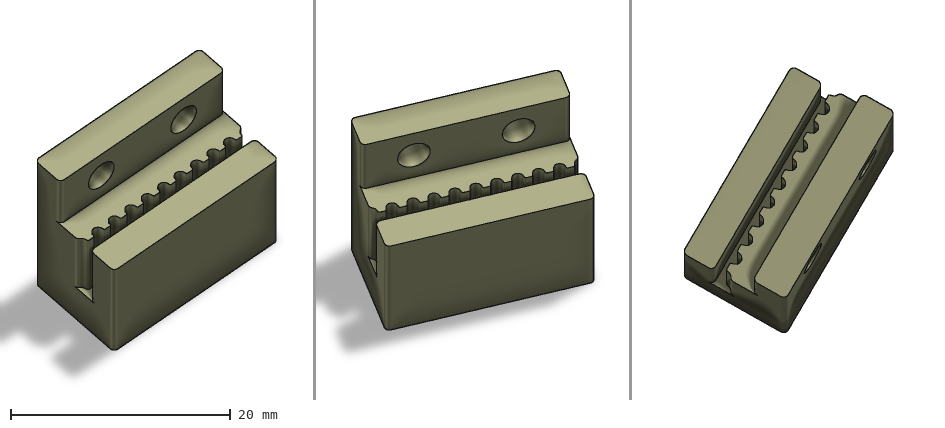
import cadquery as cq
import math

width = 10.85
length = 20.0
height = 17.5
wall_thickness = 3.45
body_height = 11.5
edge_radius = 0.5

hole_diameter = 3.1
hole_spacing = 10.0
hole_height = (body_height + height) / 2

slot_left = 6.6
slot_right = 7.6
slot_floor = 4.5
slot_depth = body_height - slot_floor

tooth_pitch = 2.0
groove_depth = 0.75
tip_radius = 0.55
flank_radius = 1.0
flank_offset = 0.4
root_radius = 0.15


def point_at(center, radius, angle):
    """Point on a circle; the angle is measured from +Y towards the groove bottom."""
    return (
        center[0] + radius * math.cos(angle),
        center[1] + radius * math.sin(angle),
    )


def groove_side():
    """Arc end and middle points from groove bottom to mouth, as (across, depth)."""
    tip_center = (0, groove_depth - tip_radius)
    tip_end_angle = math.acos(flank_offset / (flank_radius - tip_radius))
    center_rise = (flank_radius - tip_radius) * math.sin(tip_end_angle)
    flank_center = (-flank_offset, tip_center[1] - center_rise)
    flank_end_angle = math.asin((root_radius - flank_center[1]) / (flank_radius + root_radius))
    root_center = point_at(flank_center, flank_radius + root_radius, flank_end_angle)
    root_start_angle = flank_end_angle + math.pi
    root_end_angle = 3 * math.pi / 2
    return [
        point_at(tip_center, tip_radius, math.pi / 2),
        point_at(tip_center, tip_radius, (math.pi / 2 + tip_end_angle) / 2),
        point_at(tip_center, tip_radius, tip_end_angle),
        point_at(flank_center, flank_radius, (tip_end_angle + flank_end_angle) / 2),
        point_at(flank_center, flank_radius, flank_end_angle),
        point_at(root_center, root_radius, (root_start_angle + root_end_angle) / 2),
        point_at(root_center, root_radius, root_end_angle),
    ]


def tooth_groove(center_y):
    """Cutter for one groove, reaching into the slot so that the two overlap."""
    side = groove_side()
    lower = [(slot_left - depth, center_y - across) for across, depth in reversed(side)]
    upper = [(slot_left - depth, center_y + across) for across, depth in side]
    path = lower + upper[1:]
    slot_middle = (slot_left + slot_right) / 2
    outline = cq.Workplane("XY").workplane(offset=slot_floor).moveTo(*path[0])
    for middle, end in zip(path[1::2], path[2::2]):
        outline = outline.threePointArc(middle, end)
    outline = outline.lineTo(slot_middle, path[-1][1]).lineTo(slot_middle, path[0][1])
    return outline.close().extrude(slot_depth)


half_length = length / 2
block = cq.Workplane("XY").box(width, length, body_height, centered=(False, True, False))
wall = cq.Workplane("XY").box(wall_thickness, length, height, centered=(False, True, False))
block = block.union(wall)

slot = cq.Workplane("XY").box(
    slot_right - slot_left, length, slot_depth, centered=(False, True, False)
)
block = block.cut(slot.translate((slot_left, 0, slot_floor)))
pitch_count = round(length / tooth_pitch)
for index in range(pitch_count + 1):
    block = block.cut(tooth_groove(index * tooth_pitch - half_length))

block = block.faces("<Y or >Y").edges("|Z").fillet(edge_radius)

holes = (
    cq.Workplane("YZ")
    .pushPoints([(-hole_spacing / 2, hole_height), (hole_spacing / 2, hole_height)])
    .circle(hole_diameter / 2)
    .extrude(wall_thickness)
)
result = block.cut(holes)